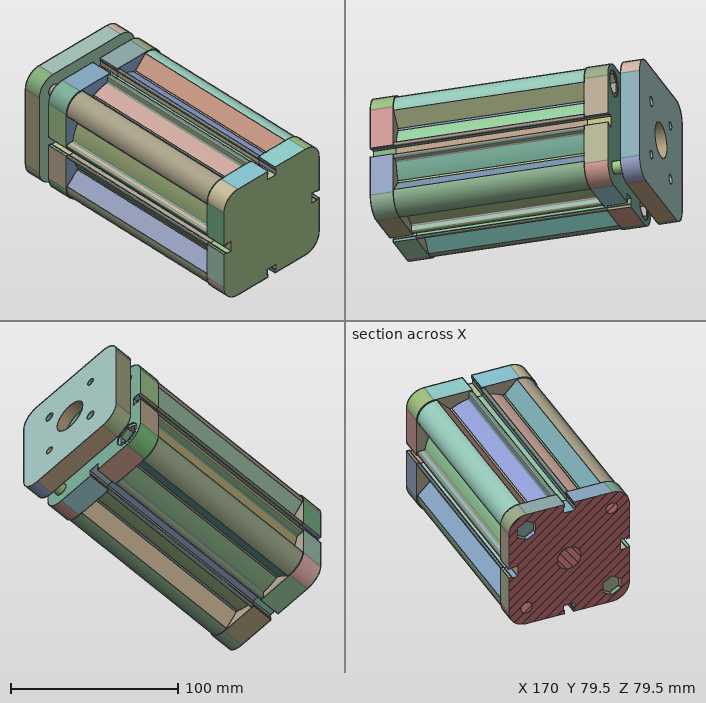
import cadquery as cq
import math


total_length = 170.0
plate_thickness = 12.0
plate_gap = 8.0
front_cap_length = 15.0
rear_cap_length = 14.5
front_cap_start = plate_thickness + plate_gap
profile_start = front_cap_start + front_cap_length
rear_cap_start = total_length - rear_cap_length
profile_length = rear_cap_start - profile_start

side = 79.5
half_side = side / 2
corner_radius = 11.5

corner_offset = 28.0
guide_rod_diameter = 8.0

screw_recess_diameter = 22.1
screw_recess_depth = 7.5
hole_offset = 17.7
screw_hole_diameter = 6.0
pin_hole_diameter = 5.0

rod_diameter = 16.0
rod_flat_width = 13.0
rod_flat_length = 6.3
rod_end_chamfer = 0.5

seat_diameter = 16.3
seat_depth = 0.7
socket_width = 11.5
socket_depth = 5.6

cap_slot_width = 6.0
profile_slot_width = 5.8
undercut_width = 7.1
slot_lip_depth = 2.0
slot_depth = 6.0
slot_floor = half_side - slot_depth

profile_half_side = 39.1
barrel_radius = 34.7
lobe_radius = profile_half_side - corner_offset
lobe_end = 26.4
flank_foot = 18.0
flank_floor = 30.5
rail_width = 10.5
rail_fillet = 0.8
mouth_fillet = 0.3


def on_each_side(body):
    """Return four copies of a body, turned about the X axis to the four long sides."""
    return [body.rotate((0, 0, 0), (1, 0, 0), 90 * turn) for turn in range(4)]


def square_block(start, length):
    """Square block with rounded long edges."""
    return (
        cq.Workplane("YZ", origin=(start, 0, 0))
        .rect(side, side)
        .extrude(length)
        .edges("|X")
        .fillet(corner_radius)
    )


def round_bar(start, length, diameter, y=0.0, z=0.0):
    """Cylinder along X, centred on (y, z)."""
    return cq.Workplane("YZ", origin=(start, y, z)).circle(diameter / 2).extrude(length)


def slot_cutter(start, length, mouth_width):
    """Slot that widens below its lips, open towards +Z."""
    lip_height = half_side - slot_lip_depth
    mouth = (
        cq.Workplane("XY", origin=(start, 0, slot_floor))
        .box(length, mouth_width, 2 * slot_depth, centered=(False, True, False))
    )
    undercut = (
        cq.Workplane("XY", origin=(start, 0, slot_floor))
        .box(length, undercut_width, lip_height - slot_floor, centered=(False, True, False))
    )
    return mouth.union(undercut)


def make_yoke():
    """Yoke plate with its two guide rods on one diagonal."""
    yoke = square_block(0, plate_thickness)
    yoke = yoke.cut(round_bar(0, screw_recess_depth, screw_recess_diameter))
    for sign in (-1, 1):
        offset = sign * hole_offset
        yoke = yoke.cut(round_bar(0, plate_thickness, screw_hole_diameter, offset, offset))
        yoke = yoke.cut(round_bar(0, plate_thickness, pin_hole_diameter, -offset, offset))
        rod_y = -sign * corner_offset
        rod_z = sign * corner_offset
        rod_length = profile_start - plate_thickness
        yoke = yoke.union(round_bar(plate_thickness, rod_length, guide_rod_diameter, rod_y, rod_z))
    return yoke


def make_piston_rod():
    """Piston rod with a chamfered end and two wrench flats facing up and down."""
    rod = round_bar(plate_thickness, profile_start - plate_thickness, rod_diameter)
    rod = rod.faces("<X").chamfer(rod_end_chamfer)
    for sign in (-1, 1):
        flat = (
            cq.Workplane("XY", origin=(plate_thickness, 0, sign * rod_flat_width))
            .box(rod_flat_length, rod_diameter, rod_flat_width, centered=(False, True, True))
        )
        rod = rod.cut(flat)
    return rod


def make_cap(start, length):
    """Plain end cap with the four sensor slots."""
    cap = square_block(start, length)
    for slot in on_each_side(slot_cutter(start, length, cap_slot_width)):
        cap = cap.cut(slot)
    return cap


def screw_seat(y, z):
    """Shallow round seat with a hexagon socket in its floor."""
    seat = round_bar(front_cap_start, seat_depth, seat_diameter, y, z)
    corner_diameter = socket_width / math.cos(math.pi / 6)
    socket = (
        cq.Workplane("YZ", origin=(front_cap_start, y, z))
        .transformed(rotate=(0, 0, 90))
        .polygon(6, corner_diameter)
        .extrude(seat_depth + socket_depth)
    )
    return seat.union(socket)


def make_front_cap():
    """End cap with bores for the piston rod and guide rods, and screw seats between them."""
    cap = make_cap(front_cap_start, front_cap_length)
    cap = cap.cut(round_bar(front_cap_start, front_cap_length, rod_diameter))
    for sign in (-1, 1):
        offset = sign * corner_offset
        cap = cap.cut(round_bar(front_cap_start, front_cap_length, guide_rod_diameter, -offset, offset))
        cap = cap.cut(screw_seat(offset, offset))
    return cap


def corner_lobe():
    """Rounded corner of the profile with its two sloping flanks."""
    lobe_peak = corner_offset + math.sqrt(lobe_radius**2 - (corner_offset - lobe_end) ** 2)
    lobe_tip = corner_offset + lobe_radius * math.sqrt(0.5)
    return (
        cq.Workplane("YZ", origin=(profile_start, 0, 0))
        .lineTo(0, flank_floor)
        .lineTo(flank_foot, flank_floor)
        .lineTo(lobe_end, lobe_peak)
        .threePointArc((lobe_tip, lobe_tip), (lobe_peak, lobe_end))
        .lineTo(flank_floor, flank_foot)
        .lineTo(flank_floor, 0)
        .close()
        .extrude(profile_length)
    )


def slot_rail():
    """Raised rail that carries a slot, rounded on top and flared into the barrel."""
    wall = rail_width / 2
    foot = wall + rail_fillet
    foot_height = math.sqrt(barrel_radius**2 - foot**2)
    bend = rail_fillet * (1 - math.sqrt(0.5))
    top = profile_half_side
    return (
        cq.Workplane("YZ", origin=(profile_start, 0, 0))
        .lineTo(foot, foot_height)
        .threePointArc((wall + bend, foot_height + bend), (wall, foot_height + rail_fillet))
        .lineTo(wall, top - rail_fillet)
        .threePointArc((wall - bend, top - bend), (wall - rail_fillet, top))
        .lineTo(rail_fillet - wall, top)
        .threePointArc((bend - wall, top - bend), (-wall, top - rail_fillet))
        .lineTo(-wall, foot_height + rail_fillet)
        .threePointArc((-wall - bend, foot_height + bend), (-foot, foot_height))
        .close()
        .extrude(profile_length)
    )


def profile_slot():
    """Sensor slot whose mouth is rounded over at the top of the rail."""
    edge = profile_slot_width / 2
    top = profile_half_side
    bend = mouth_fillet * (1 - math.sqrt(0.5))
    mouth = (
        cq.Workplane("YZ", origin=(profile_start, 0, 0))
        .moveTo(edge + mouth_fillet, top)
        .threePointArc((edge + bend, top - bend), (edge, top - mouth_fillet))
        .lineTo(-edge, top - mouth_fillet)
        .threePointArc((-edge - bend, top - bend), (-edge - mouth_fillet, top))
        .close()
        .extrude(profile_length)
    )
    return slot_cutter(profile_start, profile_length, profile_slot_width).union(mouth)


def make_profile():
    """Extruded barrel with four corner lobes and a slotted rail on each side."""
    profile = round_bar(profile_start, profile_length, 2 * barrel_radius)
    for lobe in on_each_side(corner_lobe()):
        profile = profile.union(lobe)
    for rail in on_each_side(slot_rail()):
        profile = profile.union(rail)
    for slot in on_each_side(profile_slot()):
        profile = profile.cut(slot)
    return profile


yoke = make_yoke()
piston_rod = make_piston_rod()
front_cap = make_front_cap()
profile = make_profile()
rear_cap = make_cap(rear_cap_start, rear_cap_length)

result = cq.Compound.makeCompound([
    yoke.val(),
    piston_rod.val(),
    front_cap.val(),
    profile.val(),
    rear_cap.val(),
])